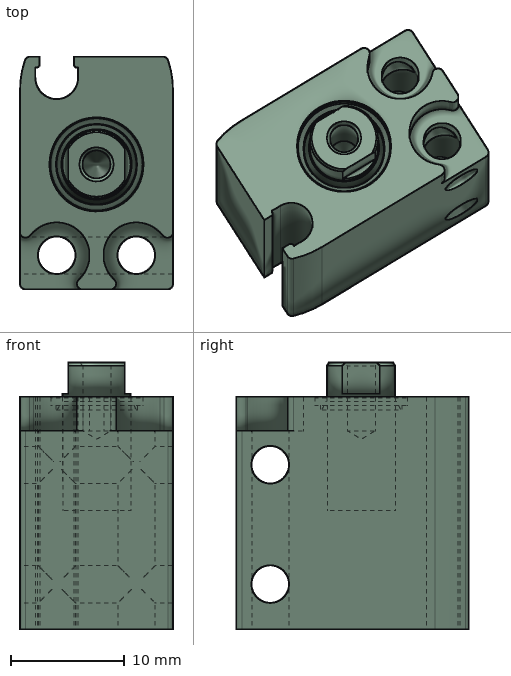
import cadquery as cq
import math

width = 13.5
depth = 20.5
housing_height = 20.5
total_height = 23.5
front_y = -11.0
back_y = front_y + depth
side_x = width / 2

corner_radius = 0.5
taper_length = 3.0
taper_radius = 8.45
taper_inset = taper_radius - math.sqrt(taper_radius**2 - taper_length**2)

hole_diameter = 3.3
hole_x = 3.5
hole_y = front_y + 3.0
side_hole_heights = (4.0, housing_height - 6.0)

recess_radius = 2.9
recess_depth = 3.0
tip_radius = 0.5

slot_x = -3.5
slot_mouth_width = 3.0
slot_width = 3.74
slot_depth = 3.74
slot_lip = 0.99
slot_lip_chamfer = 0.19

pocket_diameter = 8.1
pocket_depth = 0.75
pocket_chamfer = 0.1
pocket_floor_opening = 7.15
lip_base_diameter = 7.0
lip_top_diameter = 6.2
lip_top_depth = 0.42
lip_height = 0.75

rod_diameter = 6.0
rod_insertion = 10.0
rod_chamfer_width = 0.16
rod_chamfer_height = 0.28
flat_spacing = 4.98
flat_base = housing_height + 0.25
thread_diameter = 2.47
thread_mouth_diameter = 3.0
thread_depth = 6.0
drill_tip_half_angle = math.radians(59)


def arc_midpoint(center, radius, start, end):
    """Point on a circle midway along the shorter arc between two of its points."""
    dx = (start[0] + end[0]) / 2 - center[0]
    dy = (start[1] + end[1]) / 2 - center[1]
    length = math.hypot(dx, dy)
    return (center[0] + radius * dx / length, center[1] + radius * dy / length)


def make_blank():
    taper_start = back_y - taper_length
    taper_end_x = side_x - taper_inset
    right_start = (side_x, taper_start)
    right_end = (taper_end_x, back_y)
    right_mid = arc_midpoint((side_x - taper_radius, taper_start), taper_radius, right_start, right_end)
    return (
        cq.Workplane("XY")
        .moveTo(-side_x, front_y)
        .lineTo(side_x, front_y)
        .lineTo(*right_start)
        .threePointArc(right_mid, right_end)
        .lineTo(-taper_end_x, back_y)
        .threePointArc((-right_mid[0], right_mid[1]), (-side_x, taper_start))
        .close()
        .extrude(housing_height)
        .edges("|Z and (<Y or >Y)")
        .fillet(corner_radius)
    )


def make_corner_recess():
    """Left recess: a round seat with 45 degree tangents ending in rounded tips at the walls."""
    diagonal = math.sqrt(0.5)
    seat_reach = recess_radius * diagonal
    tip_reach = tip_radius * diagonal
    offset_sum = (recess_radius + tip_radius) / diagonal

    side_tip_x = -side_x + tip_radius
    side_tip = (side_tip_x, hole_y + offset_sum - (-hole_x - side_tip_x))
    side_wall = (-side_x, side_tip[1])
    side_tip_end = (side_tip[0] + tip_reach, side_tip[1] - tip_reach)

    front_tip_y = front_y + tip_radius
    front_tip = (-hole_x + offset_sum - (hole_y - front_tip_y), front_tip_y)
    front_wall = (front_tip[0], front_y)
    front_tip_end = (front_tip[0] - tip_reach, front_tip[1] + tip_reach)

    seat_start = (-hole_x - seat_reach, hole_y + seat_reach)
    seat_mid = (-hole_x + seat_reach, hole_y + seat_reach)
    seat_end = (-hole_x + seat_reach, hole_y - seat_reach)
    return (
        cq.Workplane("XY", origin=(0, 0, housing_height - recess_depth))
        .moveTo(-side_x, front_y)
        .lineTo(*side_wall)
        .threePointArc(arc_midpoint(side_tip, tip_radius, side_wall, side_tip_end), side_tip_end)
        .lineTo(*seat_start)
        .threePointArc(seat_mid, seat_end)
        .lineTo(*front_tip_end)
        .threePointArc(arc_midpoint(front_tip, tip_radius, front_tip_end, front_wall), front_wall)
        .close()
        .extrude(recess_depth)
    )


def make_sensor_slot():
    half_mouth = slot_mouth_width / 2
    half_slot = slot_width / 2
    lip_y = back_y - slot_lip
    round_y = back_y - slot_depth + half_slot
    return (
        cq.Workplane("XY", origin=(slot_x, 0, 0))
        .moveTo(-half_mouth, back_y)
        .lineTo(-half_mouth, lip_y + slot_lip_chamfer)
        .lineTo(-half_mouth - slot_lip_chamfer, lip_y)
        .lineTo(-half_slot, lip_y)
        .lineTo(-half_slot, round_y)
        .threePointArc((0, round_y - half_slot), (half_slot, round_y))
        .lineTo(half_slot, lip_y)
        .lineTo(half_mouth + slot_lip_chamfer, lip_y)
        .lineTo(half_mouth, lip_y + slot_lip_chamfer)
        .lineTo(half_mouth, back_y)
        .close()
        .extrude(housing_height)
    )


def make_rod_opening():
    """Revolved cut: rod bore, groove around the conical wiper lip, and the chamfered pocket."""
    floor_z = housing_height - pocket_depth
    lip_top_z = housing_height - lip_top_depth
    lip_base_z = lip_top_z - lip_height
    pocket_radius = pocket_diameter / 2
    return (
        cq.Workplane("XZ")
        .moveTo(0, housing_height - rod_insertion)
        .lineTo(rod_diameter / 2, housing_height - rod_insertion)
        .lineTo(rod_diameter / 2, lip_top_z)
        .lineTo(lip_top_diameter / 2, lip_top_z)
        .lineTo(lip_base_diameter / 2, lip_base_z)
        .lineTo(pocket_floor_opening / 2, lip_base_z)
        .lineTo(pocket_floor_opening / 2, floor_z)
        .lineTo(pocket_radius, floor_z)
        .lineTo(pocket_radius, housing_height - pocket_chamfer)
        .lineTo(pocket_radius + pocket_chamfer, housing_height)
        .lineTo(0, housing_height)
        .close()
        .revolve(360, (0, 0, 0), (0, 1, 0))
    )


def make_housing():
    body = make_blank().cut(make_sensor_slot()).cut(make_rod_opening())

    left_recess = make_corner_recess()
    body = body.cut(left_recess).cut(left_recess.mirror("YZ"))

    vertical_holes = (
        cq.Workplane("XY")
        .pushPoints([(-hole_x, hole_y), (hole_x, hole_y)])
        .circle(hole_diameter / 2)
        .extrude(housing_height)
    )
    side_holes = (
        cq.Workplane("YZ", origin=(-side_x, 0, 0))
        .pushPoints([(hole_y, z) for z in side_hole_heights])
        .circle(hole_diameter / 2)
        .extrude(width)
    )
    return body.cut(vertical_holes).cut(side_holes)


def make_rod():
    """Rod with two wrench flats, a chamfered end and a blind thread hole."""
    radius = rod_diameter / 2
    thread_radius = thread_diameter / 2
    mouth_radius = thread_mouth_diameter / 2
    mouth_chamfer = mouth_radius - thread_radius
    tip_depth = thread_radius / math.tan(drill_tip_half_angle)
    thread_bottom = total_height - thread_depth
    rod_bottom = housing_height - rod_insertion
    rod = (
        cq.Workplane("XZ")
        .moveTo(0, rod_bottom)
        .lineTo(radius, rod_bottom)
        .lineTo(radius, total_height - rod_chamfer_height)
        .lineTo(radius - rod_chamfer_width, total_height)
        .lineTo(mouth_radius, total_height)
        .lineTo(thread_radius, total_height - mouth_chamfer)
        .lineTo(thread_radius, thread_bottom)
        .lineTo(0, thread_bottom - tip_depth)
        .close()
        .revolve(360, (0, 0, 0), (0, 1, 0))
    )
    flat_height = total_height - flat_base
    for side in (-1, 1):
        flat_cut = (
            cq.Workplane("XY", origin=(side * (flat_spacing + radius) / 2, 0, flat_base))
            .rect(radius, rod_diameter)
            .extrude(flat_height)
        )
        rod = rod.cut(flat_cut)
    return rod


housing = make_housing()
rod = make_rod()
result = cq.Compound.makeCompound([housing.val(), rod.val()])